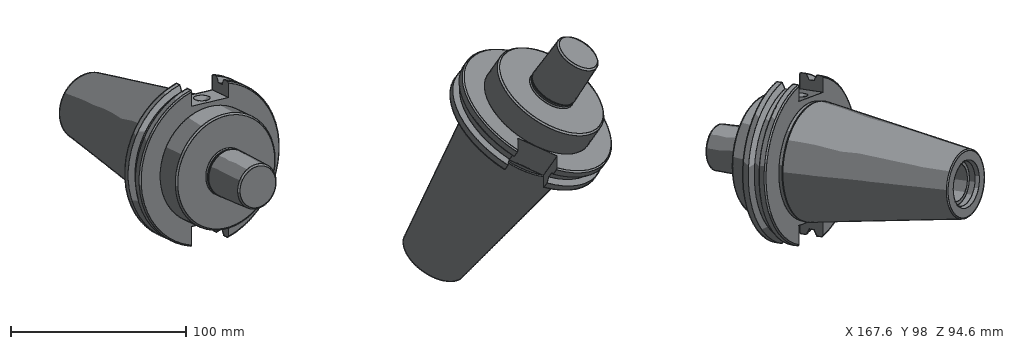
import cadquery as cq
import math

total_length = 167.6
gauge_line = 101.6
relief_start = 102.5
flange_start = 104.6
flange_end = 120.5
shoulder_end = 136.5
collar_start = 137.5
collar_end = 138.5
pin_start = 139.5

taper_rate = 7 / 24
gauge_diameter = 69.9
relief_diameter = 69.2
small_diameter = gauge_diameter - taper_rate * gauge_line
edge_chamfer = 0.7

flange_diameter = 98.0
flange_chamfer = 0.8
groove_diameter = 91.4
groove_center = 112.5
groove_floor_width = 3.4
groove_side_angle = 30.0

shoulder_diameter = 69.9
shoulder_chamfer = 1.0
neck_diameter = 27.7
pin_large_diameter = 28.7
pin_small_diameter = 27.0
pin_chamfer = 1.0

slot_width = 25.6
upper_slot_height = 37.7
lower_slot_height = 35.2
dimple_diameter = 9.5
drill_point_angle = 118.0

mouth_diameter = 28.0
counterbore_diameter = 26.2
bore_diameter = 22.0
mouth_depth = 2.3
counterbore_depth = 6.2
bore_depth = 50.3


def cone_height(diameter):
    """Height of a drill-point cone with the given base diameter."""
    return diameter / 2 / math.tan(math.radians(drill_point_angle / 2))


def revolve_about_x(points):
    """Solid of revolution about X from (x, radius) points."""
    return cq.Workplane("XY").polyline(points).close().revolve(360, (0, 0, 0), (1, 0, 0))


def make_shank():
    gauge_radius = gauge_diameter / 2
    small_radius = small_diameter / 2
    relief_radius = relief_diameter / 2
    return revolve_about_x([
        (0, 0),
        (0, small_radius - edge_chamfer),
        (edge_chamfer, small_radius + taper_rate * edge_chamfer / 2),
        (gauge_line, gauge_radius),
        (relief_start, relief_radius),
        (flange_start, relief_radius),
        (flange_start, 0),
    ])


def make_flange():
    outer_radius = flange_diameter / 2
    chamfer_radius = outer_radius - flange_chamfer
    groove_radius = groove_diameter / 2
    half_floor = groove_floor_width / 2
    half_mouth = half_floor + (outer_radius - groove_radius) * math.tan(math.radians(groove_side_angle))
    return revolve_about_x([
        (flange_start, 0),
        (flange_start, chamfer_radius),
        (flange_start + flange_chamfer, outer_radius),
        (groove_center - half_mouth, outer_radius),
        (groove_center - half_floor, groove_radius),
        (groove_center + half_floor, groove_radius),
        (groove_center + half_mouth, outer_radius),
        (flange_end - flange_chamfer, outer_radius),
        (flange_end, chamfer_radius),
        (flange_end, 0),
    ])


def make_nose():
    """Shoulder behind the flange, its neck and the tapered pin."""
    shoulder_radius = shoulder_diameter / 2
    neck_radius = neck_diameter / 2
    pin_large_radius = pin_large_diameter / 2
    pin_small_radius = pin_small_diameter / 2
    return revolve_about_x([
        (flange_start, 0),
        (flange_start, shoulder_radius),
        (shoulder_end - shoulder_chamfer, shoulder_radius),
        (shoulder_end, shoulder_radius - shoulder_chamfer),
        (shoulder_end, pin_large_radius),
        (collar_start, neck_radius),
        (collar_end, neck_radius),
        (pin_start, pin_large_radius),
        (total_length - pin_chamfer, pin_small_radius),
        (total_length, pin_small_radius - pin_chamfer),
        (total_length, 0),
    ])


def make_bore():
    """Chamfered, stepped bore ending in a drill point."""
    mouth_radius = mouth_diameter / 2
    counterbore_radius = counterbore_diameter / 2
    bore_radius = bore_diameter / 2
    return revolve_about_x([
        (0, 0),
        (0, mouth_radius),
        (mouth_depth, counterbore_radius),
        (counterbore_depth, counterbore_radius),
        (counterbore_depth, bore_radius),
        (bore_depth, bore_radius),
        (bore_depth + cone_height(bore_diameter), 0),
    ])


def make_slot(floor_height, side):
    """Drive slot over the flange width; side is +1 for the top, -1 for the bottom."""
    flange_width = flange_end - flange_start
    slot_depth = flange_diameter / 2
    middle = ((flange_start + flange_end) / 2, 0, side * (floor_height + slot_depth / 2))
    return cq.Workplane("XY").box(flange_width, slot_width, slot_depth).translate(middle)


def make_dimple():
    """Conical drill spot in the floor of the top slot."""
    depth = cone_height(dimple_diameter)
    floor_point = cq.Vector(groove_center, 0, upper_slot_height)
    return cq.Solid.makeCone(dimple_diameter / 2, 0, depth, floor_point, cq.Vector(0, 0, -1))


result = make_shank().union(make_flange()).union(make_nose())
result = result.cut(make_bore())
result = result.cut(make_slot(upper_slot_height, 1))
result = result.cut(make_slot(lower_slot_height, -1))
result = result.cut(make_dimple())